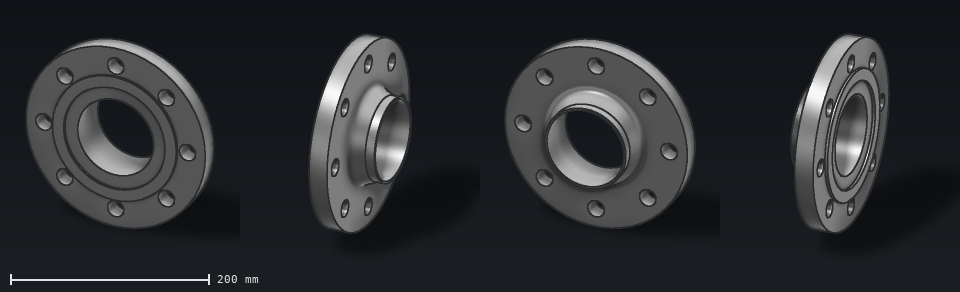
import cadquery as cq
import math

flange_diameter = 200.0
flange_thickness = 20.0
total_length = 50.0

face_diameter = 138.0
face_height = 3.0
recess_diameter = 113.0
recess_depth = 3.0

collar_diameter = 89.0
collar_length = 10.0
neck_base_diameter = 105.2
neck_fillet = 8.0
bore_diameter = 84.5

bolt_count = 8
bolt_circle_diameter = 160.0
bolt_hole_diameter = 18.0

flange_front = face_height
flange_back = flange_front + flange_thickness
collar_start = total_length - collar_length


def make_body():
    """Revolve the solid outline, including the fillet between taper and flange."""
    collar_radius = collar_diameter / 2
    base_radius = neck_base_diameter / 2
    taper_angle = math.atan2(collar_start - flange_back, base_radius - collar_radius)

    tangent_length = neck_fillet * math.tan(taper_angle / 2)
    fillet_foot = base_radius + tangent_length
    fillet_top = (
        base_radius - tangent_length * math.cos(taper_angle),
        flange_back + tangent_length * math.sin(taper_angle),
    )
    fillet_middle = (
        fillet_foot - neck_fillet * math.sin(taper_angle / 2),
        flange_back + neck_fillet * (1 - math.cos(taper_angle / 2)),
    )

    outline = (
        cq.Workplane("XY")
        .moveTo(0, 0)
        .lineTo(face_diameter / 2, 0)
        .lineTo(face_diameter / 2, flange_front)
        .lineTo(flange_diameter / 2, flange_front)
        .lineTo(flange_diameter / 2, flange_back)
        .lineTo(fillet_foot, flange_back)
        .threePointArc(fillet_middle, fillet_top)
        .lineTo(collar_radius, collar_start)
        .lineTo(collar_radius, total_length)
        .lineTo(0, total_length)
        .close()
    )
    return outline.revolve(360, (0, 0, 0), (0, 1, 0))


def axial_cylinders(diameter, length, centers):
    """Cylinders running along +Y from the sealing face, at the given (x, z) centers."""
    return cq.Workplane("XZ").pushPoints(centers).circle(diameter / 2).extrude(-length)


def bolt_centers():
    """Equally spaced bolt hole centers, the first on the +X axis."""
    radius = bolt_circle_diameter / 2
    angles = [2 * math.pi * i / bolt_count for i in range(bolt_count)]
    return [(radius * math.cos(a), radius * math.sin(a)) for a in angles]


flange_axis = [(0, 0)]
bore = axial_cylinders(bore_diameter, total_length, flange_axis)
recess = axial_cylinders(recess_diameter, recess_depth, flange_axis)
bolt_holes = axial_cylinders(bolt_hole_diameter, flange_back, bolt_centers())

result = make_body().cut(bore).cut(recess).cut(bolt_holes)